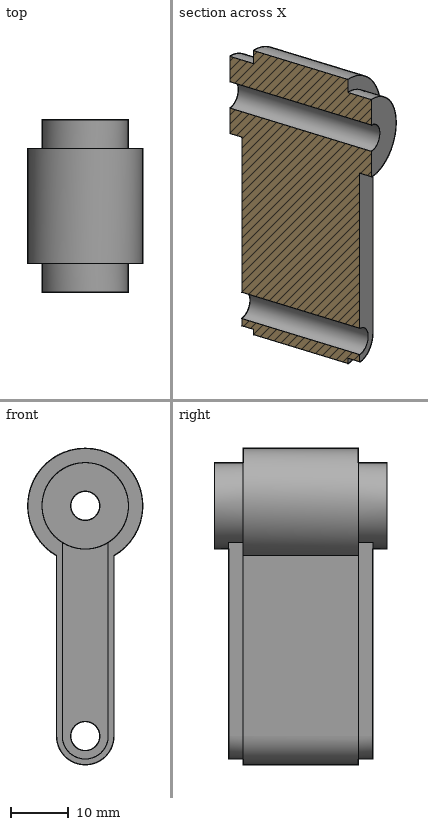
import cadquery as cq

total_height = 55.0
barrel_diameter = 20.0
barrel_length = 20.0
journal_diameter = 15.0
journal_length = 30.0
arm_width = 10.0
raised_arm_width = 8.0
raised_arm_length = 25.0
bore_diameter = 5.0

pivot_spacing = total_height - barrel_diameter / 2 - arm_width / 2


def cylinder_along_y(diameter, length, center_z=0):
    """Cylinder centred on the XZ plane."""
    return (
        cq.Workplane("XZ", origin=(0, length / 2, center_z))
        .circle(diameter / 2)
        .extrude(length)
    )


def arm(width, length):
    """Bar from the barrel axis down to a full-round end."""
    bar = cq.Workplane("XY").box(width, length, pivot_spacing)
    bar = bar.translate((0, 0, -pivot_spacing / 2))
    return bar.union(cylinder_along_y(width, length, -pivot_spacing))


body = cylinder_along_y(barrel_diameter, barrel_length)
body = body.union(cylinder_along_y(journal_diameter, journal_length))

body = body.union(arm(arm_width, barrel_length))
body = body.union(arm(raised_arm_width, raised_arm_length))

for bore_z in (0, -pivot_spacing):
    body = body.cut(cylinder_along_y(bore_diameter, journal_length, bore_z))

result = body